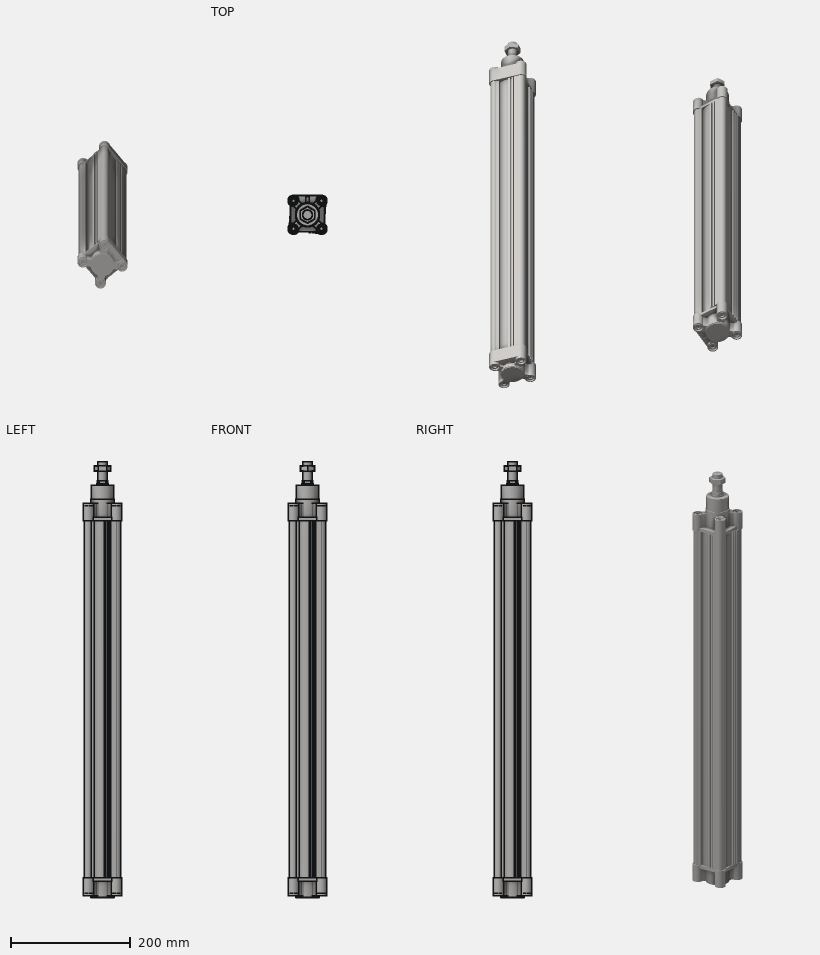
import cadquery as cq
import math


total_height = 729.0
rear_spigot_height = 4.0
cap_height = 30.0
front_cap_top = 660.0
front_boss_rise = 6.5
collar_top = 689.5
rear_cap_top = rear_spigot_height + cap_height
front_cap_bottom = front_cap_top - cap_height

barrel_half = 30.5
barrel_corner_radius = 7.0
barrel_core_radius = 27.0
recess_half_width = 14.0
corner_lip = 4.5
shelf_half = 28.5
rail_inner = 3.0
rail_outer = 12.0
rail_half = 30.0
slot_width = 3.0
slot_depth = 4.5

screw_pitch = 47.0
column_diameter = 18.0
port_face_y = (screw_pitch + column_diameter) / 2
web_width = 12.5
cap_boss_diameter = 40.0
web_fillet = 2.0
plate_width = 57.0
plate_thickness = 6.0
port_block_inner_y = 18.0
mark_width = 6.5
mark_outer_y = 30.0
mark_inner_y = 21.0
mark_depth = 1.0
port_block_height = cap_height - 4.5
rear_boss_rise = 2.0
collar_diameter = 38.0

counterbore_diameter = 14.5
counterbore_depth = 4.5
screw_head_diameter = 12.0
screw_head_drop = 1.5
screw_socket_diameter = 6.9

rod_diameter = 20.0
thread_diameter = 16.0
thread_length = 32.0
wrench_flats = 17.0
wrench_length = 5.0
thread_start = total_height - thread_length
wrench_start = thread_start - wrench_length

nut_flats = 24.0
nut_height = 9.0
nut_bottom = 713.0


def cylinder(diameter, bottom, top):
    return cq.Workplane("XY").workplane(offset=bottom).circle(diameter / 2).extrude(top - bottom)


def block(x_min, x_max, y_min, y_max, bottom, top):
    size = (x_max - x_min, y_max - y_min, top - bottom)
    return cq.Workplane("XY").box(*size, centered=False).translate((x_min, y_min, bottom))


def quarter_turns(shape):
    """The shape turned to each of the four sides around Z."""
    return [shape.rotate((0, 0, 0), (0, 0, 1), 90 * turn) for turn in range(4)]


def turned(point, turns):
    """A point of the XY plane after a number of quarter turns around the origin."""
    x, y = point
    for _ in range(turns):
        x, y = -y, x
    return (x, y)


def barrel_outline():
    """Four like sides: a rounded corner post, a sloping shelf, the recessed core and a step out."""
    corner = barrel_half - barrel_corner_radius
    lip_drop = math.sqrt(barrel_corner_radius**2 - corner_lip**2)
    diagonal_reach = corner + barrel_corner_radius / math.sqrt(2)
    core_y = math.sqrt(barrel_core_radius**2 - recess_half_width**2)

    outline = cq.Workplane("XY").workplane(offset=rear_cap_top).moveTo(-barrel_half, -corner)
    for turns in range(4):
        outline = outline.threePointArc(
            turned((-diagonal_reach, -diagonal_reach), turns),
            turned((corner_lip - corner, -corner - lip_drop), turns),
        )
        outline = outline.lineTo(*turned((-recess_half_width, -shelf_half), turns))
        outline = outline.lineTo(*turned((-recess_half_width, -core_y), turns))
        outline = outline.threePointArc(
            turned((0, -barrel_core_radius), turns),
            turned((recess_half_width, -core_y), turns),
        )
        outline = outline.lineTo(*turned((recess_half_width, -barrel_half), turns))
        if turns < 3:
            outline = outline.lineTo(*turned((corner, -barrel_half), turns))
    return outline.close()


def make_barrel():
    """Extruded profile with a slotted sensor rail in the recess of each side."""
    bottom, top = rear_cap_top, front_cap_bottom
    rail = block(rail_inner, rail_outer, -rail_half, 0, bottom, top)
    slot_left = (rail_inner + rail_outer - slot_width) / 2
    slot = block(slot_left, slot_left + slot_width, -rail_half, slot_depth - rail_half, bottom, top)

    barrel = barrel_outline().extrude(top - bottom)
    for side_rail in quarter_turns(rail):
        barrel = barrel.union(side_rail)
    for side_slot in quarter_turns(slot):
        barrel = barrel.cut(side_slot)
    return barrel


def add_screw_seat(cap, x, y):
    """Counterbore in a column, with a socketed tie-screw head standing just below its rim."""
    floor = cap_height - counterbore_depth
    head_top = cap_height - screw_head_drop
    counterbore = cylinder(counterbore_diameter, floor, cap_height)
    head = cylinder(screw_head_diameter, floor, head_top)
    socket = cylinder(screw_socket_diameter, floor, head_top)
    cap = cap.cut(counterbore.translate((x, y, 0)))
    return cap.union(head.cut(socket).translate((x, y, 0)))


def make_cap(boss_rise):
    """End cap standing on Z = 0 with its outer end up and its port face toward +Y."""
    half_pitch = screw_pitch / 2
    half_plate = plate_width / 2
    corners = [(x, y) for x in (-half_pitch, half_pitch) for y in (-half_pitch, half_pitch)]

    cap = cylinder(cap_boss_diameter, 0, cap_height)
    diagonal = screw_pitch * math.sqrt(2)
    web = cq.Workplane("XY").box(diagonal, web_width, cap_height, centered=(True, True, False))
    for angle in (45, 135):
        cap = cap.union(web.rotate((0, 0, 0), (0, 0, 1), angle))
    cap = cap.edges("|Z").fillet(web_fillet)

    cap = cap.union(block(-half_plate, half_plate, -half_plate, half_plate, 0, plate_thickness))
    cap = cap.union(cylinder(cap_boss_diameter, 0, cap_height + boss_rise))
    for x, y in corners:
        cap = cap.union(cylinder(column_diameter, 0, cap_height).translate((x, y, 0)))
    cap = cap.union(block(-half_pitch, half_pitch, port_block_inner_y, port_face_y, 0, port_block_height))

    mark = block(-mark_width / 2, mark_width / 2, mark_inner_y, mark_outer_y,
                 port_block_height - mark_depth, port_block_height)
    cap = cap.cut(mark)
    for x, y in corners:
        cap = add_screw_seat(cap, x, y)
    return cap


def make_housing():
    """Barrel, both caps, the front collar and the rear spigot, with a blind hole for the rod."""
    front_cap = make_cap(front_boss_rise).translate((0, 0, front_cap_bottom))
    rear_cap = make_cap(rear_boss_rise).mirror("XY").translate((0, 0, rear_cap_top))
    collar = cylinder(collar_diameter, front_cap_top, collar_top)
    spigot = cylinder(collar_diameter, 0, rear_cap_top)
    rod_hole = cylinder(rod_diameter, front_cap_bottom, collar_top)
    housing = make_barrel().union(front_cap).union(rear_cap)
    return housing.union(collar).union(spigot).cut(rod_hole)


def make_rod():
    """Round rod, a short length with four wrench flats, then the thread."""
    shank = cylinder(rod_diameter, front_cap_bottom, wrench_start)
    half_flats = wrench_flats / 2
    square = block(-half_flats, half_flats, -half_flats, half_flats, wrench_start, thread_start)
    flats = cylinder(rod_diameter, wrench_start, thread_start).intersect(square)
    return shank.union(flats).union(cylinder(thread_diameter, thread_start, total_height))


def make_nut():
    """Hexagon nut with two of its flats facing -X and +X."""
    across_corners = nut_flats / math.cos(math.radians(30))
    hexagon = cq.Workplane("XY").polygon(6, across_corners).extrude(nut_height)
    hexagon = hexagon.rotate((0, 0, 0), (0, 0, 1), 30).translate((0, 0, nut_bottom))
    return hexagon.cut(cylinder(thread_diameter, nut_bottom, nut_bottom + nut_height))


housing = make_housing()
rod = make_rod()
nut = make_nut()

result = cq.Compound.makeCompound([housing.val(), rod.val(), nut.val()])